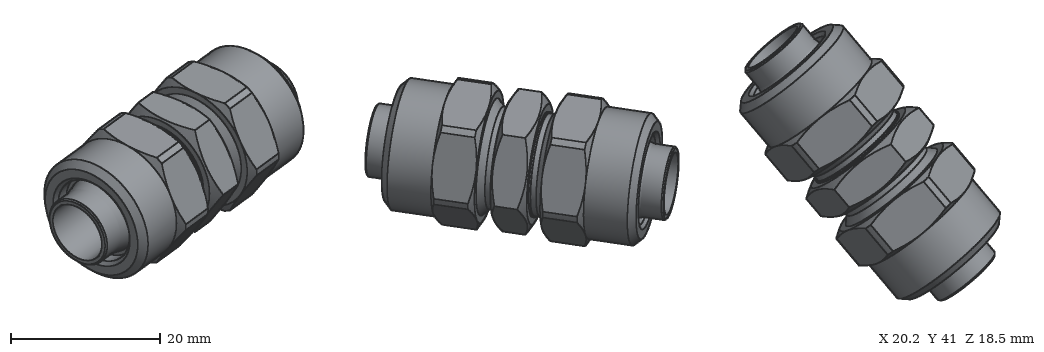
import cadquery as cq
import math


length = 41.0
tube_end = length / 2
nut_end = 17.5
nut_hex_end = 10.5
nut_hex_start = 4.5
cone_start = 3.53
body_hex_half_length = 2.5
collar_step = 2.75

nut_diameter = 18.0
nut_corner_diameter = 20.2
nut_end_chamfer = 1.0
front_nut_turn = 3.0
mouth_diameter = 13.32
mouth_bore_diameter = 12.3
mouth_depth = 2.2
mouth_taper_depth = 0.5

body_hex_flats = 17.0
body_hex_face_diameter = 16.4
neck_diameter = 14.0
collar_diameter = 14.35
hex_chamfer_angle = 30.0
flats_up_turn = 30.0

tube_diameter = 10.0
tube_bore_diameter = 8.5
tube_end_chamfer = 0.2
flare_diameter = 11.1
flare_start = 17.5


def hex_band(y_start, y_end, across_flats, corner_diameter, face_diameter, turn):
    """Hexagon along Y with flats facing +Z and -Z before turning, and conically chamfered corners."""
    corner_radius = corner_diameter / 2
    face_radius = face_diameter / 2
    chamfer_length = (corner_radius - face_radius) * math.tan(math.radians(hex_chamfer_angle))
    hexagon = (
        cq.Workplane("XZ", origin=(0, y_start, 0))
        .polygon(6, across_flats, circumscribed=True)
        .extrude(y_start - y_end)
        .rotate((0, 0, 0), (0, 1, 0), flats_up_turn + turn)
    )
    envelope = (
        cq.Workplane("XY")
        .moveTo(0, y_start)
        .lineTo(face_radius, y_start)
        .lineTo(corner_radius, y_start + chamfer_length)
        .lineTo(corner_radius, y_end - chamfer_length)
        .lineTo(face_radius, y_end)
        .lineTo(0, y_end)
        .close()
        .revolve(360, (0, 0, 0), (0, 1, 0))
    )
    return hexagon.intersect(envelope)


def turned_half():
    """Round surfaces of the +Y half: neck, nut barrel, tapered mouth, flare and tube stub."""
    neck_radius = neck_diameter / 2
    nut_radius = nut_diameter / 2
    cone_radius = neck_radius + nut_hex_start - cone_start
    mouth_floor = nut_end - mouth_depth
    profile = [
        (tube_bore_diameter / 2, 0),
        (collar_diameter / 2, 0),
        (collar_diameter / 2, collar_step),
        (neck_radius, collar_step),
        (neck_radius, cone_start),
        (cone_radius, nut_hex_start),
        (nut_radius, nut_hex_start),
        (nut_radius, nut_end - nut_end_chamfer),
        (nut_radius - nut_end_chamfer, nut_end),
        (mouth_diameter / 2, nut_end),
        (mouth_bore_diameter / 2, nut_end - mouth_taper_depth),
        (mouth_bore_diameter / 2, mouth_floor),
        (flare_diameter / 2, mouth_floor),
        (tube_diameter / 2, flare_start),
        (tube_diameter / 2, tube_end - tube_end_chamfer),
        (tube_diameter / 2 - tube_end_chamfer, tube_end),
        (tube_bore_diameter / 2, tube_end),
    ]
    return cq.Workplane("XY").polyline(profile).close().revolve(360, (0, 0, 0), (0, 1, 0))


def nut_hex(y_start, y_end, turn):
    return hex_band(y_start, y_end, nut_diameter, nut_corner_diameter, nut_diameter, turn)


back_half = turned_half()
turned = back_half.union(back_half.mirror("XZ"))

body_hex_corners = body_hex_flats / math.cos(math.pi / 6)
body_hex = hex_band(
    -body_hex_half_length, body_hex_half_length, body_hex_flats, body_hex_corners, body_hex_face_diameter, 0
)
back_hex = nut_hex(nut_hex_start, nut_hex_end, 0)
front_hex = nut_hex(-nut_hex_end, -nut_hex_start, front_nut_turn)

hexes = body_hex.union(back_hex).union(front_hex)
bore = cq.Workplane("XZ").circle(tube_bore_diameter / 2).extrude(tube_end, both=True)
result = turned.union(hexes.cut(bore))